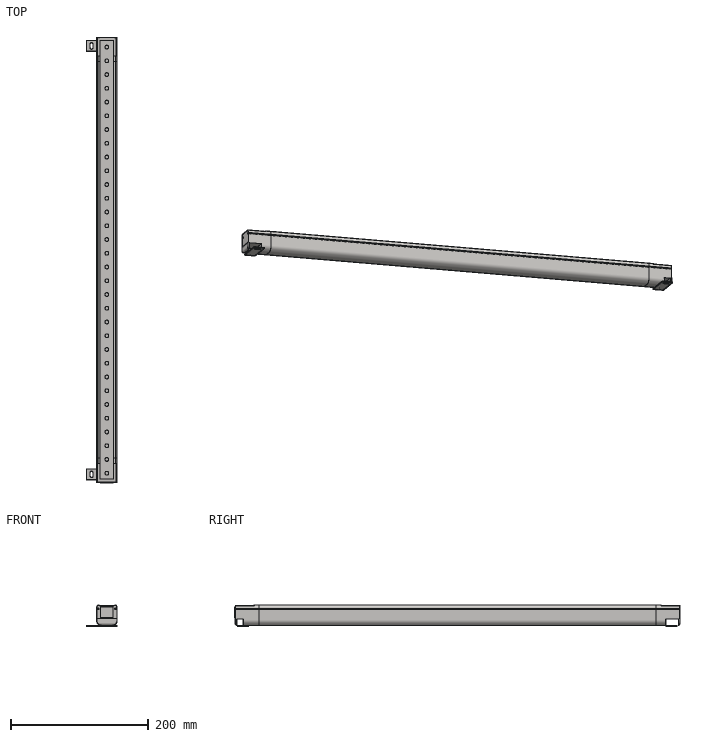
import cadquery as cq
import math


total_length = 648.4
total_width = 44.89
total_height = 31.39

bracket_thickness = 1.3
section_width = 30.0
half_width = section_width / 2
section_bottom = bracket_thickness
bottom_radius = 7.5
groove_bottom = 24.8
groove_top = 26.2
groove_depth = 3.5
lip_inset = 2.4
lip_sag = 0.5

cover_width = 20.0
cover_thickness = 2.0
cover_top = 30.4
cover_bottom = cover_top - cover_thickness

led_count = 32
led_pitch = 20.0
led_diameter = 5.4
led_depth = 0.5

panel_height = 1.0
panel_width = 18.0
panel_bottom = 13.0
panel_top = 28.5
cap_length = 35.0
cap_wall = 4.5
cap_top = cover_top
low_lip_length = 27.5
notch_wall = 2.5
front_notch_end = 11.5
back_notch_end = 20.5
notch_top = 10.8
step_bottom = 11.4
step_depth = 0.4
end_round = 3.5

bracket_length = 16.0
bracket_end_distance = 4.5
slot_width = 4.0
slot_length = 9.0
slot_edge_distance = 7.6

front_end = -total_length / 2 + panel_height
back_end = total_length / 2
body_length = back_end - front_end
body_centre = (front_end + back_end) / 2


def bar_section(start, length):
    """Solid section with rounded lower corners, side grooves, top lips and the cover channel."""
    corner = bottom_radius * (1 - math.sqrt(0.5))
    lip_x = half_width - lip_inset
    flank_x = half_width - lip_inset / 2 + lip_sag
    flank_z = (groove_top + total_height) / 2 + lip_sag
    channel_x = cover_width / 2
    return (
        cq.Workplane("XZ", origin=(0, start, 0))
        .moveTo(-half_width + bottom_radius, section_bottom)
        .lineTo(half_width - bottom_radius, section_bottom)
        .threePointArc((half_width - corner, section_bottom + corner),
                       (half_width, section_bottom + bottom_radius))
        .lineTo(half_width, groove_bottom)
        .lineTo(half_width - groove_depth, groove_bottom)
        .lineTo(half_width - groove_depth, groove_top)
        .lineTo(half_width, groove_top)
        .threePointArc((flank_x, flank_z), (lip_x, total_height))
        .lineTo(channel_x, cover_top)
        .lineTo(channel_x, cover_bottom)
        .lineTo(-channel_x, cover_bottom)
        .lineTo(-channel_x, cover_top)
        .lineTo(-lip_x, total_height)
        .threePointArc((-flank_x, flank_z), (-half_width, groove_top))
        .lineTo(-half_width + groove_depth, groove_top)
        .lineTo(-half_width + groove_depth, groove_bottom)
        .lineTo(-half_width, groove_bottom)
        .lineTo(-half_width, section_bottom + bottom_radius)
        .threePointArc((-half_width + corner, section_bottom + corner),
                       (-half_width + bottom_radius, section_bottom))
        .close()
        .extrude(-length)
    )


def block(x_size, y_start, y_end, z_start, z_end):
    """Box centred on X between the given Y and Z limits."""
    return cq.Workplane("XY").box(
        x_size, y_end - y_start, z_end - z_start, centered=(True, False, False)
    ).translate((0, y_start, z_start))


def end_cap(notch_end):
    """End cap facing the front, without the raised panel."""
    cap = bar_section(front_end, cap_length)

    wall = block(section_width - 2 * lip_inset, front_end, front_end + cap_wall, cover_bottom, cap_top)
    cap = cap.union(wall)
    cap = cap.cut(block(section_width, front_end, front_end + low_lip_length, cap_top, total_height))

    envelope = block(section_width, front_end, front_end + cap_length, section_bottom, total_height)
    cap = cap.intersect(envelope.edges("<Y and <Z").fillet(end_round))

    cap = cap.cut(block(section_width, front_end, front_end + step_depth, step_bottom, total_height))

    notch = block(section_width, front_end + notch_wall, front_end + notch_end, 0, notch_top)
    return cap.cut(notch)


def bracket(centre_y):
    """Flat mounting foot with one slot beside the bar."""
    right_edge = half_width
    left_edge = right_edge - total_width
    return (
        cq.Workplane("XY", origin=((left_edge + right_edge) / 2, centre_y, 0))
        .rect(total_width, bracket_length)
        .extrude(bracket_thickness)
        .cut(
            cq.Workplane("XY", origin=(left_edge + slot_edge_distance, centre_y, 0))
            .slot2D(slot_length, slot_width, 90)
            .extrude(bracket_thickness)
        )
    )


housing = bar_section(front_end + cap_length, body_length - 2 * cap_length)

panel = block(panel_width, front_end - panel_height, front_end + step_depth, panel_bottom, panel_top)
panel_cap = end_cap(front_notch_end).union(panel)
back_cap = end_cap(back_notch_end).mirror("XZ", (0, body_centre, 0))

cover = block(cover_width, front_end + cap_wall, back_end - cap_wall, cover_bottom, cover_top)
led_points = [(0, (i - (led_count - 1) / 2) * led_pitch) for i in range(led_count)]
led_recesses = (
    cq.Workplane("XY", origin=(0, 0, cover_top - led_depth))
    .pushPoints(led_points)
    .circle(led_diameter / 2)
    .extrude(led_depth)
)
cover = cover.cut(led_recesses)

bracket_centre = total_length / 2 - bracket_end_distance - bracket_length / 2
brackets = [bracket(side * bracket_centre) for side in (-1, 1)]

result = cq.Compound.makeCompound(
    [housing.val(), panel_cap.val(), back_cap.val(), cover.val()] + [b.val() for b in brackets]
)